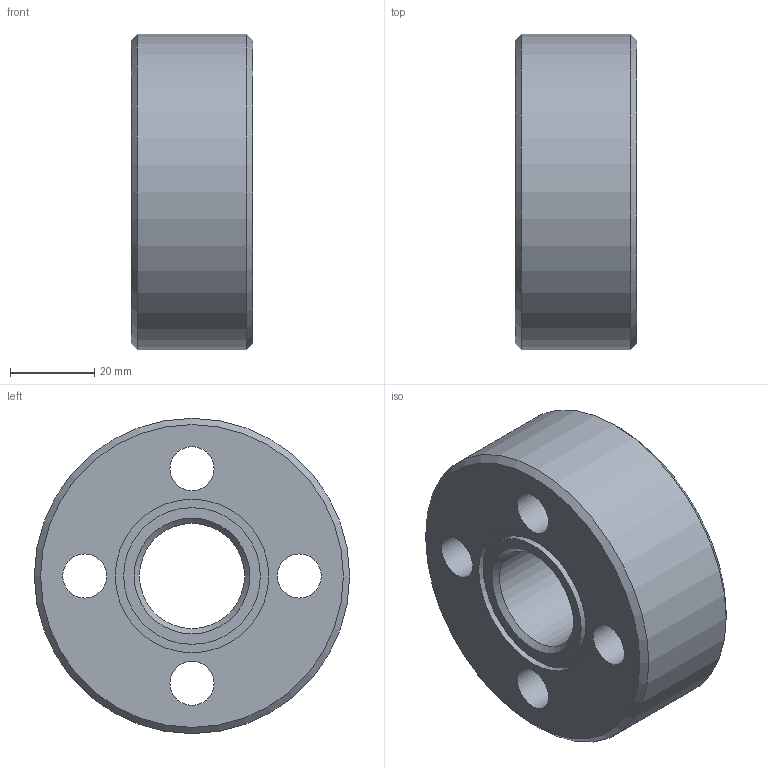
import cadquery as cq

thickness = 29.0
outer_diameter = 75.0
rim_chamfer = 1.5

bore_diameter = 25.0
bore_chamfer = 1.25

groove_inner_diameter = 32.5
groove_outer_diameter = 36.5
groove_depth = 1.5

bolt_hole_diameter = 10.5
bolt_circle_diameter = 51.0
bolt_hole_count = 4

front_x = -thickness / 2


def front_plane():
    """Sketch plane on the -X face, with its normal along +X into the part."""
    return cq.Workplane("YZ", origin=(front_x, 0, 0))


def make_body():
    """Disc with both rims chamfered."""
    disc = front_plane().circle(outer_diameter / 2).extrude(thickness)
    return disc.edges().chamfer(rim_chamfer)


def cut_bore(body):
    """Through bore with a conical chamfer at its -X mouth."""
    bore_radius = bore_diameter / 2
    bore = front_plane().circle(bore_radius).extrude(thickness)
    mouth = (
        front_plane()
        .circle(bore_radius + bore_chamfer)
        .workplane(offset=bore_chamfer)
        .circle(bore_radius)
        .loft(ruled=True)
    )
    return body.cut(bore).cut(mouth)


def cut_groove(body):
    """Shallow ring groove in the -X face."""
    groove = (
        front_plane()
        .circle(groove_outer_diameter / 2)
        .circle(groove_inner_diameter / 2)
        .extrude(groove_depth)
    )
    return body.cut(groove)


def cut_bolt_holes(body):
    """Through holes evenly spaced on the bolt circle."""
    holes = (
        front_plane()
        .polarArray(bolt_circle_diameter / 2, 0, 360, bolt_hole_count)
        .circle(bolt_hole_diameter / 2)
        .extrude(thickness)
    )
    return body.cut(holes)


result = cut_bolt_holes(cut_groove(cut_bore(make_body())))